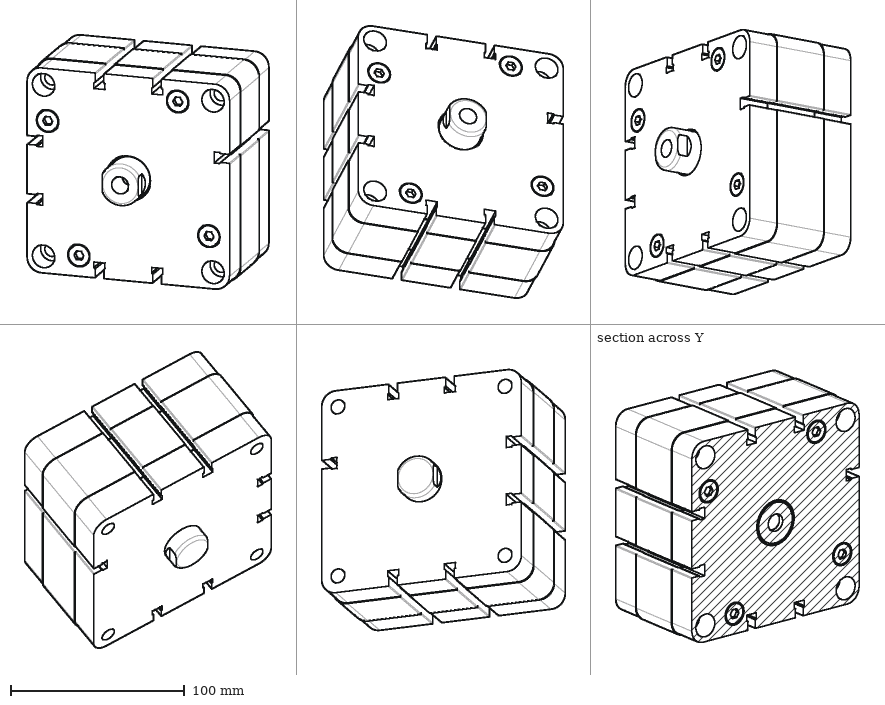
import cadquery as cq
import math

width = 124.0
cap_inset = 0.5
corner_center = 52.7
barrel_length = 33.2
cap_length = 19.2
front_rod_length = 14.9
back_rod_length = 9.9

rod_diameter = 25.0
rod_rounding = 1.9
rod_flat_width = 22.0
rod_flat_length = 7.0
rod_bore_diameter = 10.2
rod_bore_depth = 18.6
drill_point_angle = 118.0
rod_gap_diameter = 27.0
rod_gap_depth = 2.0

slot_offset = 17.5
slot_mouth_width = 5.2
slot_inner_width = 6.7
slot_depth = 9.4
slot_neck_depth = 5.5
slot_mouth_rounding = 0.5

mount_offset = 51.5
mount_hole_diameter = 8.4
mount_bore_diameter = 13.5
mount_bore_depth = 14.9

screw_far_offset = 49.0
screw_near_offset = 30.0
screw_pocket_diameter = 13.5
screw_head_diameter = 12.5
screw_pocket_depth = 5.0
socket_width = 5.1
socket_depth = 3.0

half_width = width / 2
half_barrel = barrel_length / 2
half_body = half_barrel + cap_length
front_rod_end = half_body + front_rod_length
back_rod_end = half_body + back_rod_length
rod_radius = rod_diameter / 2
slot_angles = {"top": 0, "left": 90, "bottom": 180, "right": 270}


def plane_at(y):
    """Sketch plane facing the front (-Y); local x is X and local y is Z."""
    return cq.Workplane("XZ", origin=(0, y, 0))


def cylinder(diameter, front, back):
    """Cylinder on the part axis between two Y positions."""
    return plane_at(back).circle(diameter / 2).extrude(back - front)


def slot(half_size, offset, angle, front, back):
    """T-slot with rounded mouth, cut into the top side and turned to another side."""
    mouth = slot_mouth_width / 2
    inner = slot_inner_width / 2
    lip = mouth + slot_mouth_rounding
    round_end = half_size - slot_mouth_rounding
    bend = slot_mouth_rounding * (1 - math.sqrt(0.5))
    neck = half_size - slot_neck_depth
    shoulder = neck - (inner - mouth)
    floor = half_size - slot_depth
    profile = (
        plane_at(back)
        .moveTo(offset - lip, half_size)
        .threePointArc((offset - mouth - bend, half_size - bend), (offset - mouth, round_end))
        .lineTo(offset - mouth, neck)
        .lineTo(offset - inner, shoulder)
        .lineTo(offset - inner, floor)
        .lineTo(offset + inner, floor)
        .lineTo(offset + inner, shoulder)
        .lineTo(offset + mouth, neck)
        .lineTo(offset + mouth, round_end)
        .threePointArc((offset + mouth + bend, half_size - bend), (offset + lip, half_size))
        .close()
    )
    return profile.extrude(back - front).rotate((0, 0, 0), (0, -1, 0), angle)


def body_section(half_size, front, back):
    """Rounded square block with the seven T-slots along its length."""
    block = (
        plane_at(back)
        .rect(2 * half_size, 2 * half_size)
        .extrude(back - front)
        .edges("|Y")
        .fillet(half_size - corner_center)
    )
    for side, angle in slot_angles.items():
        offsets = (-slot_offset,) if side == "right" else (-slot_offset, slot_offset)
        for offset in offsets:
            block = block.cut(slot(half_size, offset, angle, front, back))
    return block


def piston_rod():
    """Through rod with rounded ends and wrench flats."""
    rod = cylinder(rod_diameter, -front_rod_end, back_rod_end).edges("%CIRCLE").fillet(rod_rounding)
    flat = rod_flat_width / 2
    ramp = rod_radius - flat
    for end, direction in ((-front_rod_end, 1), (back_rod_end, -1)):
        shoulder = end + direction * rod_flat_length
        for side in (-1, 1):
            flat_cut = (
                cq.Workplane("XY")
                .polyline([
                    (side * flat, end),
                    (side * flat, shoulder),
                    (side * rod_radius, shoulder + direction * ramp),
                    (side * rod_radius, end),
                ])
                .close()
                .extrude(rod_radius, both=True)
            )
            rod = rod.cut(flat_cut)
    return rod


def rod_bore():
    """Drilled hole with a conical bottom, entering the front rod end."""
    bore_radius = rod_bore_diameter / 2
    bore_end = rod_bore_depth - front_rod_end
    point_length = bore_radius / math.tan(math.radians(drill_point_angle / 2))
    return (
        cq.Workplane("XY")
        .polyline([
            (0, -front_rod_end),
            (bore_radius, -front_rod_end),
            (bore_radius, bore_end),
            (0, bore_end + point_length),
        ])
        .close()
        .revolve(360, (0, 0, 0), (0, 1, 0))
    )


def cut_mounting_holes(body):
    """Four corner through holes, counterbored from the front."""
    corners = [(x, z) for x in (-mount_offset, mount_offset) for z in (-mount_offset, mount_offset)]
    holes = plane_at(half_body).pushPoints(corners).circle(mount_hole_diameter / 2).extrude(2 * half_body)
    bores = plane_at(-half_body).pushPoints(corners).circle(mount_bore_diameter / 2).extrude(-mount_bore_depth)
    return body.cut(holes).cut(bores)


def cut_cap_screws(body):
    """Four socket screws: ring gap around each head and a hexagon socket."""
    far, near = screw_far_offset, screw_near_offset
    face = plane_at(-half_body).pushPoints([(-far, near), (near, far), (far, -near), (-near, -far)])
    gaps = face.circle(screw_pocket_diameter / 2).circle(screw_head_diameter / 2).extrude(-screw_pocket_depth)
    across_corners = socket_width / math.cos(math.pi / 6)
    sockets = face.polygon(6, across_corners).extrude(-socket_depth)
    return body.cut(gaps).cut(sockets)


cap_half = half_width - cap_inset
body = body_section(half_width, -half_barrel, half_barrel)
body = body.union(body_section(cap_half, -half_body, -half_barrel))
body = body.union(body_section(cap_half, half_barrel, half_body))
body = cut_mounting_holes(body)
body = cut_cap_screws(body)
body = body.cut(cylinder(rod_gap_diameter, -half_body, rod_gap_depth - half_body))
result = body.union(piston_rod()).cut(rod_bore())